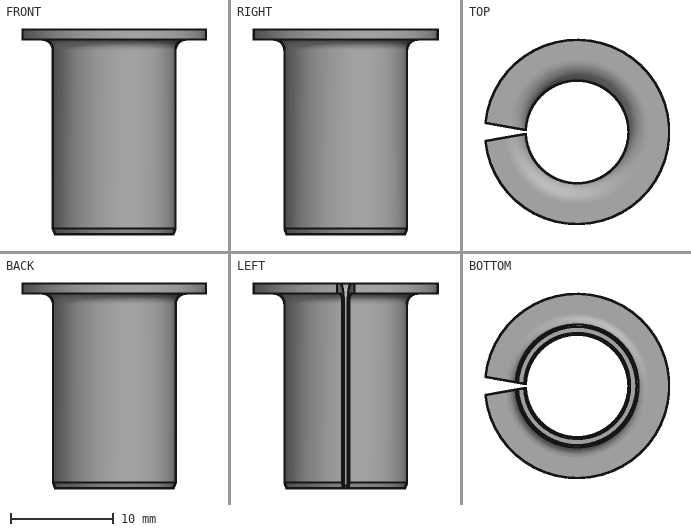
import cadquery as cq
import math

height = 20.0
bore_radius = 5.0
wall = 1.0
flange_radius = 9.0
outer_bend_radius = 1.0
lead_in_height = 0.6
lead_in_angle = 20.0
bore_chamfer_height = 0.3
bore_chamfer_angle = 30.0
slit_apex_radius = 4.0
slit_half_angle = 10.0
slit_overrun = 1.0

sleeve_radius = bore_radius + wall
inner_bend_radius = outer_bend_radius + wall
bend_center_radius = sleeve_radius + outer_bend_radius
bend_center_z = height - inner_bend_radius
lead_in_depth = lead_in_height * math.tan(math.radians(lead_in_angle))
bore_chamfer_depth = bore_chamfer_height * math.tan(math.radians(bore_chamfer_angle))


def bend_point(radius):
    """Midpoint of a quarter arc joining the sleeve to the flange."""
    offset = radius * math.sqrt(0.5)
    return bend_center_radius - offset, bend_center_z + offset


def make_flanged_sleeve():
    """Constant-wall sleeve with a curved bend into its flange, revolved about Z."""
    profile = (
        cq.Workplane("XZ")
        .moveTo(bore_radius, bore_chamfer_height)
        .lineTo(bore_radius + bore_chamfer_depth, 0)
        .lineTo(sleeve_radius - lead_in_depth, 0)
        .lineTo(sleeve_radius, lead_in_height)
        .lineTo(sleeve_radius, bend_center_z)
        .threePointArc(bend_point(outer_bend_radius), (bend_center_radius, height - wall))
        .lineTo(flange_radius, height - wall)
        .lineTo(flange_radius, height)
        .lineTo(bend_center_radius, height)
        .threePointArc(bend_point(inner_bend_radius), (bore_radius, bend_center_z))
        .close()
    )
    sleeve = profile.revolve(360, (0, 0), (0, 1))
    return sleeve.rotate((0, 0, 0), (0, 0, 1), 180)


def make_slit_cutter():
    """Wedge on the -X side that opens outward, running the full height."""
    outer_x = flange_radius + slit_overrun
    half_width = (outer_x - slit_apex_radius) * math.tan(math.radians(slit_half_angle))
    return (
        cq.Workplane("XY")
        .polyline([(-slit_apex_radius, 0), (-outer_x, half_width), (-outer_x, -half_width)])
        .close()
        .extrude(height)
    )


result = make_flanged_sleeve().cut(make_slit_cutter())